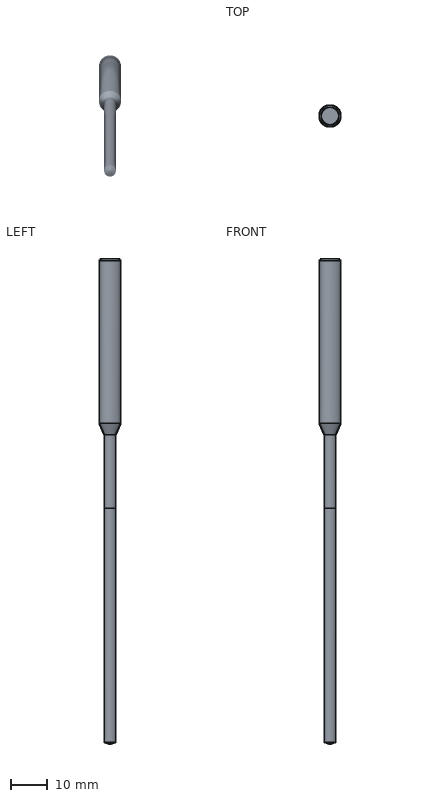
import cadquery as cq
import math


shank_diameter = 6.0
drill_diameter = 3.2

overall_length = 132.58
cutting_length = 64.5
neck_length = 20.0
shank_length = 45.0
end_chamfer_height = 0.6
end_chamfer_width = 0.6

point_angle = 140.0

shank_radius = shank_diameter / 2
drill_radius = drill_diameter / 2
point_height = drill_radius / math.tan(math.radians(point_angle / 2))
neck_top = cutting_length + neck_length
shank_bottom = overall_length - shank_length


def turned_body(profile):
    """Revolve (radius, height) points around Z."""
    points = [(-radius, height) for radius, height in profile]
    return (
        cq.Workplane("YZ")
        .polyline(points)
        .close()
        .revolve(360, (0, 0), (0, 1))
    )


def make_cutting_part():
    """Cylindrical cutting part with a conical drill point."""
    return turned_body([
        (0, 0),
        (drill_radius, point_height),
        (drill_radius, cutting_length),
        (0, cutting_length),
    ])


def make_shank():
    """Neck, conical transition and chamfered clamping shank."""
    return turned_body([
        (0, cutting_length),
        (drill_radius, cutting_length),
        (drill_radius, neck_top),
        (shank_radius, shank_bottom),
        (shank_radius, overall_length - end_chamfer_height),
        (shank_radius - end_chamfer_width, overall_length),
        (0, overall_length),
    ])


cutting_part = make_cutting_part()
shank = make_shank()

result = cq.Compound.makeCompound([cutting_part.val(), shank.val()])